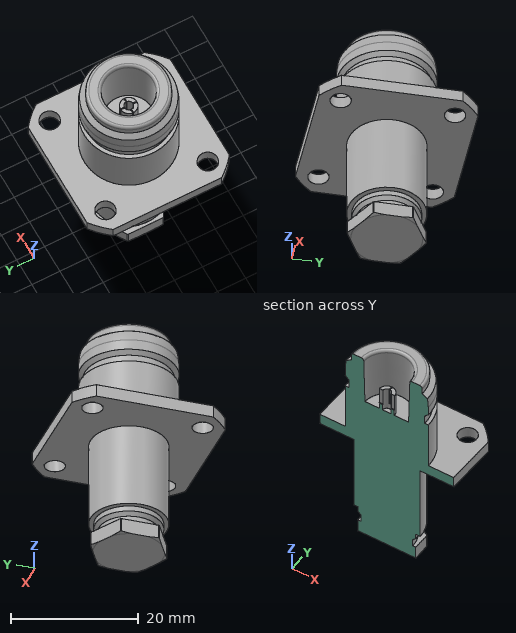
import cadquery as cq
import math

total_height = 38.22
hex_top = 2.45
lower_groove_top = 3.67
lower_chamfer_top = 4.28
lower_barrel_bottom = 5.2
flange_bottom = 19.5
flange_top = 21.6
upper_groove_bottom = 30.45
upper_groove_top = 31.95
head_bottom = 32.65
dome_start = 34.35
dome_end = 36.08
lip_bottom = 36.7

lower_groove_radius = 4.93
lower_collar_radius = 5.5
lower_barrel_radius = 6.3
upper_barrel_radius = 7.9
upper_groove_radius = 7.22
lip_radius = 6.75
lip_fillet = 0.5

flange_width = 25.4
flange_corner_radius = 15.98
mount_hole_spacing = 18.27
mount_hole_diameter = 3.33

hex_across_flats = 2 * lower_collar_radius
hex_corner_radius = lower_barrel_radius
hex_chamfer_width = 0.65
hex_chamfer_angle = 15
hex_sides = 6

socket_depth = 9.17
socket_mouth_radius = 4.3
socket_floor_radius = 4.1

contact_radius = 1.45
contact_bore_radius = 0.75
contact_recess = 4.95
contact_slot_width = 0.15
contact_slot_depth = 3.05


def make_body():
    """Turned body: stepped barrels, grooves and a domed head with a rounded lip."""

    def dome_radius(height):
        return math.sqrt(upper_barrel_radius**2 - (height - dome_start) ** 2)

    dome_mid_height = (dome_start + dome_end) / 2
    fillet_mid = lip_fillet * math.sqrt(0.5)
    lip_centre_radius = lip_radius - lip_fillet
    lip_centre_height = total_height - lip_fillet
    mouth_centre_radius = socket_mouth_radius + lip_fillet
    socket_floor = total_height - socket_depth

    profile = (
        cq.Workplane("XZ")
        .moveTo(0, 0)
        .lineTo(lower_groove_radius, 0)
        .lineTo(lower_groove_radius, lower_groove_top)
        .lineTo(lower_collar_radius, lower_chamfer_top)
        .lineTo(lower_collar_radius, lower_barrel_bottom)
        .lineTo(lower_barrel_radius, lower_barrel_bottom)
        .lineTo(lower_barrel_radius, flange_bottom)
        .lineTo(upper_barrel_radius, flange_bottom)
        .lineTo(upper_barrel_radius, upper_groove_bottom)
        .lineTo(upper_groove_radius, upper_groove_bottom)
        .lineTo(upper_groove_radius, upper_groove_top)
        .lineTo(upper_barrel_radius, head_bottom)
        .lineTo(upper_barrel_radius, dome_start)
        .threePointArc((dome_radius(dome_mid_height), dome_mid_height), (dome_radius(dome_end), dome_end))
        .lineTo(lip_radius, lip_bottom)
        .lineTo(lip_radius, lip_centre_height)
        .threePointArc(
            (lip_centre_radius + fillet_mid, lip_centre_height + fillet_mid),
            (lip_centre_radius, total_height),
        )
        .lineTo(mouth_centre_radius, total_height)
        .threePointArc(
            (mouth_centre_radius - fillet_mid, lip_centre_height + fillet_mid),
            (socket_mouth_radius, lip_centre_height),
        )
        .lineTo(socket_floor_radius, socket_floor)
        .lineTo(0, socket_floor)
        .close()
    )
    return profile.revolve(360, (0, 0), (0, 1))


def make_flange():
    """Square flange with its corners cut by a circle and four mounting holes."""
    thickness = flange_top - flange_bottom
    base = cq.Workplane("XY").workplane(offset=flange_bottom)
    square = base.rect(flange_width, flange_width).extrude(thickness)
    disc = base.circle(flange_corner_radius).extrude(thickness)
    holes = (
        base.rect(mount_hole_spacing, mount_hole_spacing, forConstruction=True)
        .vertices()
        .circle(mount_hole_diameter / 2)
        .extrude(thickness)
    )
    return square.intersect(disc).cut(holes)


def make_hex():
    """Hex nut with flats facing X, corners turned down and a chamfered lower face."""
    half_side_angle = 180 / hex_sides
    corner_diameter = hex_across_flats / math.cos(math.radians(half_side_angle))
    prism = (
        cq.Workplane("XY")
        .transformed(rotate=(0, 0, half_side_angle))
        .polygon(hex_sides, corner_diameter)
        .extrude(hex_top)
    )
    chamfer_height = hex_chamfer_width * math.tan(math.radians(hex_chamfer_angle))
    turned_blank = (
        cq.Workplane("XZ")
        .moveTo(0, 0)
        .lineTo(hex_corner_radius - hex_chamfer_width, 0)
        .lineTo(hex_corner_radius, chamfer_height)
        .lineTo(hex_corner_radius, hex_top)
        .lineTo(0, hex_top)
        .close()
        .revolve(360, (0, 0), (0, 1))
    )
    return prism.intersect(turned_blank)


def make_contact():
    """Hollow centre contact on the socket floor, split by two crossing slots."""
    contact_length = socket_depth - contact_recess
    base = cq.Workplane("XY").workplane(offset=total_height - socket_depth)
    contact = base.circle(contact_radius).circle(contact_bore_radius).extrude(contact_length)
    slot_base = base.workplane(offset=contact_length - contact_slot_depth)
    for slot_angle in (0, 90):
        slot = (
            slot_base.transformed(rotate=(0, 0, slot_angle))
            .rect(2 * contact_radius, contact_slot_width)
            .extrude(contact_slot_depth)
        )
        contact = contact.cut(slot)
    return contact


result = make_body().union(make_flange()).union(make_hex()).union(make_contact())